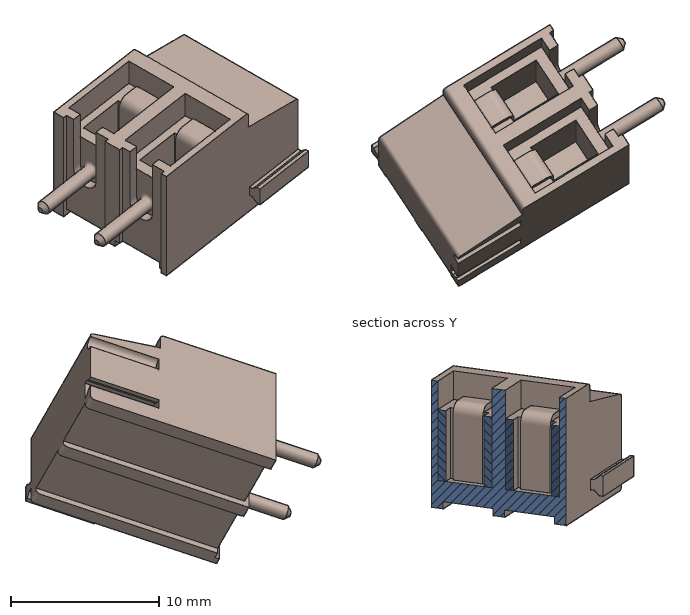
import cadquery as cq
import math


HOUSING_WIDTH = 10.0
HOUSING_LENGTH = 13.65
HOUSING_HEIGHT = 9.0
STEP_Y = 8.5
SLOPE_TOP_Z = 7.68
SLOPE_ANGLE = 10.0
EDGE_RADIUS = 0.3

FOOT_WIDTH = 0.88
FOOT_HEIGHT = 0.5
CHANNEL_WIDTH = (HOUSING_WIDTH - 3 * FOOT_WIDTH) / 2
RELIEF_DEPTH = 0.3
RIGHT_RIB_WIDTH = 0.47

PITCH = HOUSING_WIDTH / 2
POLE_XS = [-PITCH / 2, PITCH / 2]

CAGE_WIDTH = 3.98
CAGE_FRONT_Y = 0.99
CAGE_BACK_Y = 7.18
CAGE_BOTTOM_Z = 2.0
CAGE_TOP_Z = 6.98
CAGE_SIDE_WALL = 0.6
CAGE_FRONT_WALL = 0.8
CAGE_REAR_WALL = 1.8

PIN_RADIUS = 0.5
PIN_LENGTH = 4.3
PIN_Z = HOUSING_HEIGHT / 2
PIN_TIP_RADIUS = 0.2
PIN_TIP_LENGTH = 0.35
PIN_ROOT_RADIUS = 0.25
SLOT_WIDTH = 1.97

TONGUE_WIDTH = 2.19
TONGUE_TOP_Z = CAGE_TOP_Z + 0.43
TONGUE_LEG_THICKNESS = 0.25
TONGUE_BEND_RADIUS = 0.75
TONGUE_REAR_RADIUS = 0.41

COUPLING_LENGTH = 5.03
RAIL_Z = 1.8
RAIL_NECK_HALF = 0.38
RAIL_HEAD_HALF = 0.72
RAIL_FLARE_START = 0.27
RAIL_FLARE_END = 0.65
RAIL_DEPTH = 0.92
GROOVE_CLEARANCE = 0.05
ROUND_GROOVE_RADIUS = 0.52
ROUND_GROOVE_Z = 5.92


def box(x_range, y_range, z_range):
    """Axis-aligned box between the given limits."""
    size = [high - low for low, high in (x_range, y_range, z_range)]
    return cq.Workplane("XY").box(*size, centered=False).translate((x_range[0], y_range[0], z_range[0]))


def centred(middle, size):
    """Limits of a span of the given size about its middle."""
    return (middle - size / 2, middle + size / 2)


def shell():
    """Side profile with the stepped, sloping roof, extruded across the width."""
    rear_top_z = SLOPE_TOP_Z - (HOUSING_LENGTH - STEP_Y) * math.tan(math.radians(SLOPE_ANGLE))
    profile = [
        (0, 0),
        (HOUSING_LENGTH, 0),
        (HOUSING_LENGTH, rear_top_z),
        (STEP_Y, SLOPE_TOP_Z),
        (STEP_Y, HOUSING_HEIGHT),
        (0, HOUSING_HEIGHT),
    ]
    body = cq.Workplane("YZ").polyline(profile).close().extrude(HOUSING_WIDTH / 2, both=True)
    body = body.edges("|X").edges(">Y").fillet(EDGE_RADIUS)
    step_edge = cq.selectors.NearestToPointSelector((0, STEP_Y, HOUSING_HEIGHT))
    return body.edges(step_edge).fillet(EDGE_RADIUS)


def foot_channels():
    """Channels along the underside that leave three feet."""
    middle_distance = (FOOT_WIDTH + CHANNEL_WIDTH) / 2
    channels = cq.Workplane("XY")
    for middle in (-middle_distance, middle_distance):
        channels = channels.add(box(centred(middle, CHANNEL_WIDTH), (0, HOUSING_LENGTH), (0, FOOT_HEIGHT)))
    return channels.combine()


def front_reliefs():
    """Shallow full-height reliefs in the front face that leave three ribs."""
    left_start = -HOUSING_WIDTH / 2 + FOOT_WIDTH
    right_start = HOUSING_WIDTH / 2 - RIGHT_RIB_WIDTH - CHANNEL_WIDTH
    reliefs = cq.Workplane("XY")
    for start in (left_start, right_start):
        reliefs = reliefs.add(box((start, start + CHANNEL_WIDTH), (0, RELIEF_DEPTH), (0, HOUSING_HEIGHT)))
    return reliefs.combine()


def cage_pocket(x):
    """Pocket open at the top that holds the cage and the tongue."""
    return box(centred(x, CAGE_WIDTH), (CAGE_FRONT_Y, CAGE_BACK_Y), (CAGE_BOTTOM_Z, HOUSING_HEIGHT))


def pin_slot(x):
    """Round-bottomed slot through the front wall, open at the top."""
    upper = box(centred(x, SLOT_WIDTH), (0, CAGE_FRONT_Y), (PIN_Z, HOUSING_HEIGHT))
    lower = cq.Workplane("XZ", origin=(x, 0, PIN_Z)).circle(SLOT_WIDTH / 2).extrude(-CAGE_FRONT_Y)
    return upper.union(lower)


def dovetail(wall_x, clearance):
    """Dovetail bar along Y that widens in +X from a side wall, grown in Z by the clearance per side."""
    neck = RAIL_NECK_HALF + clearance
    head = RAIL_HEAD_HALF + clearance
    profile = [
        (0, -neck),
        (RAIL_FLARE_START, -neck),
        (RAIL_FLARE_END, -head),
        (RAIL_DEPTH, -head),
        (RAIL_DEPTH, head),
        (RAIL_FLARE_END, head),
        (RAIL_FLARE_START, neck),
        (0, neck),
    ]
    plane = cq.Workplane("XZ", origin=(wall_x, HOUSING_LENGTH, RAIL_Z))
    return plane.polyline(profile).close().extrude(COUPLING_LENGTH)


def round_groove():
    """Half-round groove along the rear of the left wall."""
    plane = cq.Workplane("XZ", origin=(-HOUSING_WIDTH / 2, HOUSING_LENGTH, ROUND_GROOVE_Z))
    return plane.circle(ROUND_GROOVE_RADIUS).extrude(COUPLING_LENGTH)


def make_housing():
    body = shell().cut(foot_channels()).cut(front_reliefs())
    for x in POLE_XS:
        body = body.cut(cage_pocket(x)).cut(pin_slot(x))
    dovetail_groove = dovetail(-HOUSING_WIDTH / 2, GROOVE_CLEARANCE)
    rail = dovetail(HOUSING_WIDTH / 2, 0)
    return body.cut(dovetail_groove).cut(round_groove()).union(rail)


def make_terminal(x):
    """Cage open from top to bottom, with the solder pin on its front wall."""
    cage = box(centred(x, CAGE_WIDTH), (CAGE_FRONT_Y, CAGE_BACK_Y), (CAGE_BOTTOM_Z, CAGE_TOP_Z))
    opening = box(
        centred(x, CAGE_WIDTH - 2 * CAGE_SIDE_WALL),
        (CAGE_FRONT_Y + CAGE_FRONT_WALL, CAGE_BACK_Y - CAGE_REAR_WALL),
        (CAGE_BOTTOM_Z, CAGE_TOP_Z),
    )
    root_end = CAGE_FRONT_Y - PIN_ROOT_RADIUS
    root_mid = PIN_ROOT_RADIUS * (1 - math.sqrt(0.5))
    pin_half = (
        cq.Workplane("XY", origin=(x, 0, PIN_Z))
        .moveTo(0, -PIN_LENGTH)
        .lineTo(PIN_TIP_RADIUS, -PIN_LENGTH)
        .lineTo(PIN_RADIUS, -PIN_LENGTH + PIN_TIP_LENGTH)
        .lineTo(PIN_RADIUS, root_end)
        .threePointArc(
            (PIN_RADIUS + root_mid, CAGE_FRONT_Y - root_mid),
            (PIN_RADIUS + PIN_ROOT_RADIUS, CAGE_FRONT_Y),
        )
        .lineTo(0, CAGE_FRONT_Y)
        .close()
    )
    pin = pin_half.revolve(360, (0, 0, 0), (0, 1, 0))
    return cage.cut(opening).union(pin)


def make_tongue(x):
    """Strip lying on the rear wall of the cage, its leg bent down along the inside of the wall."""
    wall_y = CAGE_BACK_Y - CAGE_REAR_WALL
    leg_y = wall_y - TONGUE_LEG_THICKNESS
    profile = [
        (CAGE_BACK_Y, CAGE_TOP_Z),
        (CAGE_BACK_Y, TONGUE_TOP_Z),
        (leg_y, TONGUE_TOP_Z),
        (leg_y, CAGE_BOTTOM_Z),
        (wall_y, CAGE_BOTTOM_Z),
        (wall_y, CAGE_TOP_Z),
    ]
    plane = cq.Workplane("YZ", origin=(x, 0, 0))
    strip = plane.polyline(profile).close().extrude(TONGUE_WIDTH / 2, both=True)
    strip = strip.edges("|X").edges(">Z").edges(">Y").fillet(TONGUE_REAR_RADIUS)
    bend_edge = cq.selectors.NearestToPointSelector((x, leg_y, TONGUE_TOP_Z))
    return strip.edges(bend_edge).fillet(TONGUE_BEND_RADIUS)


housing = make_housing()
terminals = [make_terminal(x) for x in POLE_XS]
tongues = [make_tongue(x) for x in POLE_XS]

result = cq.Compound.makeCompound(
    [housing.val()]
    + [terminal.val() for terminal in terminals]
    + [tongue.val() for tongue in tongues]
)